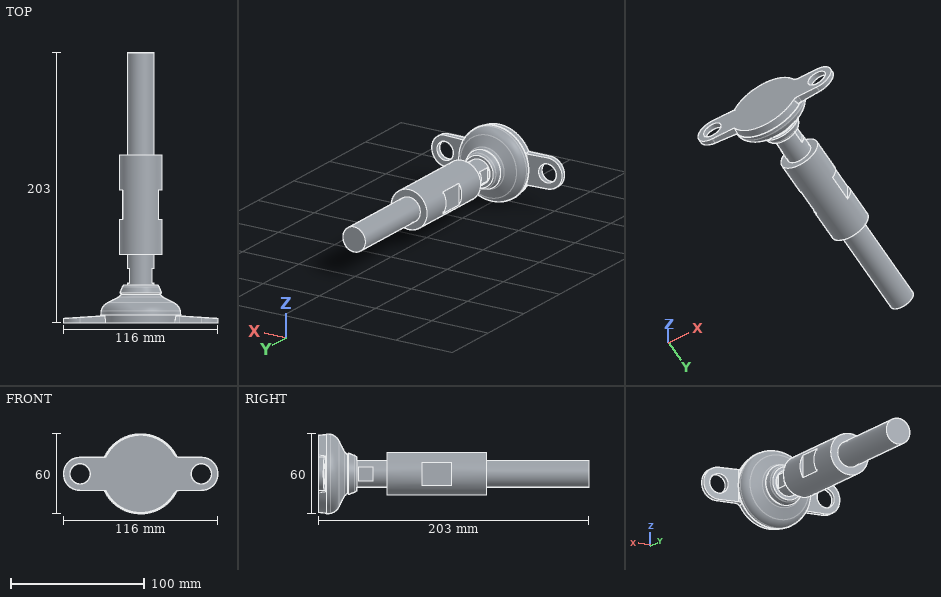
import cadquery as cq
import math

TOTAL_LENGTH = 203.0

DISC_BOTTOM_RADIUS = 29.0
DISC_TOP_RADIUS = 29.6
DISC_HEIGHT = 6.0
DOME_RIM_RADIUS = 30.0
DOME_SIDE_RADIUS = 29.8
DOME_SIDE_TOP = 9.1
DOME_SHOULDER_MID = (28.2, 12.5)
DOME_SHOULDER = (25.0, 15.5)
DOME_NECK_MID = (20.5, 17.7)
DOME_NECK = (16.6, 19.7)
GROOVE_RADIUS = 14.6
GROOVE_HEIGHT = 21.7
COLLAR_BOTTOM_RADIUS = 15.6
COLLAR_BOTTOM = 22.7
COLLAR_TOP_RADIUS = 14.0
COLLAR_TOP = 27.0
FOOT_TOP_RADIUS = 12.8
FOOT_HEIGHT = 28.8

EAR_WIDTH = 25.0
EAR_TIP = 116.0 / 2
EAR_HOLE_DIAMETER = 15.0
EAR_ROOT = 28.5
EAR_ROOT_THICKNESS = 5.58
EAR_TIP_THICKNESS = 3.7
CORNER_RADIUS = 5.0

ROD_DIAMETER = 20.0
SLEEVE_DIAMETER = 32.0
SLEEVE_START = 51.4
SLEEVE_END = 126.3
ROD_FLAT_WIDTH = 17.0
ROD_FLAT_START = 30.0
ROD_FLAT_END = 41.0
SLEEVE_FLAT_WIDTH = 27.0
SLEEVE_FLAT_LENGTH = 22.0

ear_half_width = EAR_WIDTH / 2
hole_offset = EAR_TIP - ear_half_width


def extrude_along_y(sketch, height):
    """Extrude a sketch from the XZ plane towards +Y."""
    return sketch.extrude(-height)


def cylinder(diameter, start, end):
    plane = cq.Workplane("XZ", origin=(0, start, 0))
    return extrude_along_y(plane.circle(diameter / 2), end - start)


def make_foot_turning():
    """Base disc, dome, groove and collar as one turned shape."""
    return (
        cq.Workplane("XY")
        .lineTo(DISC_BOTTOM_RADIUS, 0)
        .lineTo(DISC_TOP_RADIUS, DISC_HEIGHT)
        .lineTo(DOME_RIM_RADIUS, DISC_HEIGHT)
        .lineTo(DOME_SIDE_RADIUS, DOME_SIDE_TOP)
        .threePointArc(DOME_SHOULDER_MID, DOME_SHOULDER)
        .threePointArc(DOME_NECK_MID, DOME_NECK)
        .lineTo(GROOVE_RADIUS, GROOVE_HEIGHT)
        .lineTo(COLLAR_BOTTOM_RADIUS, COLLAR_BOTTOM)
        .lineTo(COLLAR_TOP_RADIUS, COLLAR_TOP)
        .lineTo(FOOT_TOP_RADIUS, FOOT_HEIGHT)
        .lineTo(0, FOOT_HEIGHT)
        .close()
        .revolve(360, (0, 0, 0), (0, 1, 0))
    )


def make_ears():
    """Strip with rounded ends whose upper faces slope down to the tips."""
    strip = extrude_along_y(cq.Workplane("XZ").slot2D(2 * EAR_TIP, EAR_WIDTH), DISC_HEIGHT)
    slope_envelope = (
        cq.Workplane("XY")
        .polyline([
            (-EAR_TIP, 0),
            (EAR_TIP, 0),
            (EAR_TIP, EAR_TIP_THICKNESS),
            (EAR_ROOT, EAR_ROOT_THICKNESS),
            (-EAR_ROOT, EAR_ROOT_THICKNESS),
            (-EAR_TIP, EAR_TIP_THICKNESS),
        ])
        .close()
        .extrude(ear_half_width, both=True)
    )
    return strip.intersect(slope_envelope)


def make_corner_blend(side):
    """Concave blend between the disc and the +X ear; side is +1 or -1 along Z."""
    center_z = ear_half_width + CORNER_RADIUS
    center_distance = DISC_BOTTOM_RADIUS + CORNER_RADIUS
    center_x = math.sqrt(center_distance**2 - center_z**2)
    disc_share = DISC_BOTTOM_RADIUS / center_distance
    disc_tangent = (center_x * disc_share, side * center_z * disc_share)
    ear_tangent = (center_x, side * ear_half_width)
    angle_to_disc = math.atan2(-center_z, -center_x)
    angle_to_ear = -math.pi / 2
    mid_angle = (angle_to_disc + angle_to_ear) / 2
    arc_mid = (
        center_x + CORNER_RADIUS * math.cos(mid_angle),
        side * (center_z + CORNER_RADIUS * math.sin(mid_angle)),
    )
    sketch = (
        cq.Workplane("XZ")
        .moveTo(*disc_tangent)
        .threePointArc(arc_mid, ear_tangent)
        .lineTo(center_x, 0)
        .lineTo(0, 0)
        .close()
    )
    return extrude_along_y(sketch, EAR_ROOT_THICKNESS)


def cut_flats(body, diameter, flat_width, start, end):
    """Cut two opposite wrench flats facing -X and +X between start and end."""
    depth = (diameter - flat_width) / 2
    for side in (-1, 1):
        cutter = cq.Workplane("XY").box(depth, end - start, diameter)
        offset = side * (flat_width + depth) / 2
        body = body.cut(cutter.translate((offset, (start + end) / 2, 0)))
    return body


def make_rod():
    rod = cylinder(ROD_DIAMETER, FOOT_HEIGHT, TOTAL_LENGTH)
    return cut_flats(rod, ROD_DIAMETER, ROD_FLAT_WIDTH, ROD_FLAT_START, ROD_FLAT_END)


def make_foot():
    """Turned foot with its ears and ear holes, and the rod rising from its top."""
    foot = make_foot_turning().union(make_ears())
    for side in (-1, 1):
        foot = foot.union(make_corner_blend(side))
    holes = extrude_along_y(
        cq.Workplane("XZ").pushPoints([(-hole_offset, 0), (hole_offset, 0)]).circle(EAR_HOLE_DIAMETER / 2),
        DISC_HEIGHT,
    )
    return foot.cut(holes).union(make_rod())


def make_sleeve():
    """Sleeve bored through to fit the rod, with a centred pair of wrench flats."""
    sleeve = cylinder(SLEEVE_DIAMETER, SLEEVE_START, SLEEVE_END)
    bore = cylinder(ROD_DIAMETER, SLEEVE_START, SLEEVE_END)
    middle = (SLEEVE_START + SLEEVE_END) / 2
    flat_start = middle - SLEEVE_FLAT_LENGTH / 2
    flat_end = middle + SLEEVE_FLAT_LENGTH / 2
    sleeve = cut_flats(sleeve, SLEEVE_DIAMETER, SLEEVE_FLAT_WIDTH, flat_start, flat_end)
    return sleeve.cut(bore)


foot = make_foot()
sleeve = make_sleeve()

result = cq.Compound.makeCompound([foot.val(), sleeve.val()])